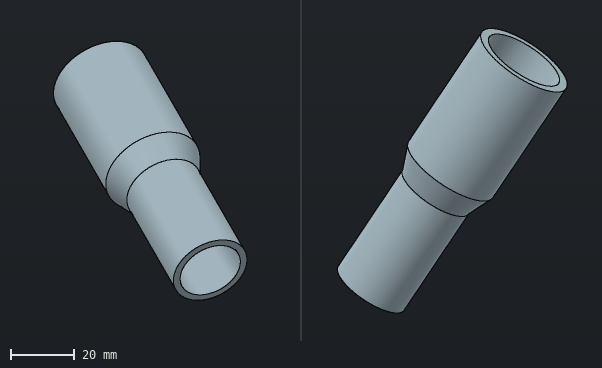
import cadquery as cq

total_length = 92.0
large_length = 44.0
taper_length = 9.0
large_outer_diameter = 32.0
large_bore_diameter = 26.2
small_outer_diameter = 25.0
small_bore_diameter = 20.4

large_end = -total_length / 2
small_end = total_length / 2
taper_start = large_end + large_length
taper_end = taper_start + taper_length


def stepped_body(large_diameter, small_diameter):
    """Solid of two coaxial cylinders joined by a cone."""
    large_radius = large_diameter / 2
    small_radius = small_diameter / 2
    half_profile = [
        (large_end, 0),
        (large_end, large_radius),
        (taper_start, large_radius),
        (taper_end, small_radius),
        (small_end, small_radius),
        (small_end, 0),
    ]
    return (
        cq.Workplane("XY")
        .polyline(half_profile)
        .close()
        .revolve(360, (0, 0, 0), (1, 0, 0))
    )


outside = stepped_body(large_outer_diameter, small_outer_diameter)
bore = stepped_body(large_bore_diameter, small_bore_diameter)
result = outside.cut(bore)